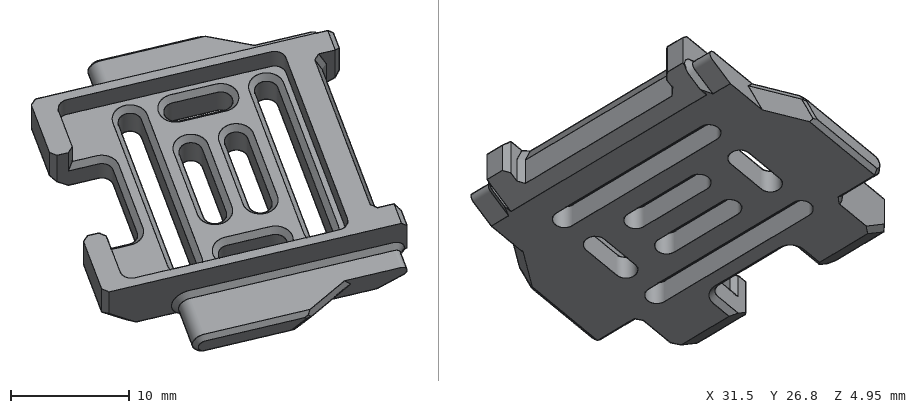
import cadquery as cq
import math

body_half_width = 10.85
body_length = 26.75
body_height = 4.95
bevel = 0.5
bevel_angle = 45
front_slope_height = 1.8
front_slope_length = 2.1
rear_slope_height = 1.45
rear_slope_angle = math.radians(25)
rear_slope_length = rear_slope_height / math.tan(rear_slope_angle)

pocket_side = 20.0
pocket_front = 2.02
pocket_floor = 2.95
pocket_corner_radius = 1.0

slot_width = 2.02
slot_pitch = 4.0
first_slot_y = 8.0
long_slot_length = 18.02
short_slot_length = 9.0
side_slot_length = 6.0
side_slot_x = 8.0
notch_width = short_slot_length
notch_depth = 5.17
notch_corner_radius = slot_width / 2

recess_half_width = 8.63
recess_bottom_y = 24.95
recess_top_y = 24.3
recess_lean_height = 1.58

wing_tip_x = 15.75
wing_shoulder_x = 13.23
wing_height = 2.1
wing_tip_bevel = 0.4
wing_slant_bevel = 0.2
wing_root_flare = 0.47
wing_front_radius = wing_height / 2
wing_front_centre_y = 7.53
wing_rear_radius = 0.55
wing_rear_centre_y = 25.48
nose_height = 1.48
nose_top_setback = 0.268
nose_bottom_setback = 0.9
nose_start_y = 21.05
nose_angle = math.radians(60)

overshoot = 1.58


def make_body():
    """Plate with sloped ends; the front corners are bevelled down to the underside."""
    body = (
        cq.Workplane("YZ")
        .moveTo(0, body_height)
        .lineTo(0, front_slope_height)
        .lineTo(front_slope_length, 0)
        .lineTo(body_length - rear_slope_length, 0)
        .lineTo(body_length, rear_slope_height)
        .lineTo(body_length, body_height - bevel)
        .lineTo(body_length - bevel, body_height)
        .close()
        .extrude(body_half_width, both=True)
    )
    for side in (-1, 1):
        front_vertical = (side * body_half_width, 0, (body_height + front_slope_height) / 2)
        front_slant = (side * body_half_width, front_slope_length / 2, front_slope_height / 2)
        body = body.edges(
            cq.selectors.NearestToPointSelector(front_vertical)
            + cq.selectors.NearestToPointSelector(front_slant)
        ).chamfer(bevel)
    return body


def pocket_column(bottom, top):
    """Pocket outline with its bevelled throat into the notch, between two heights."""
    height = top - bottom
    square = (
        cq.Workplane("XY", origin=(0, pocket_front + pocket_side / 2, bottom))
        .rect(pocket_side, pocket_side)
        .extrude(height)
        .edges("|Z")
        .fillet(pocket_corner_radius)
    )
    throat_inner = notch_width / 2 + bevel
    throat_outer = notch_width / 2
    throat_front = pocket_front - bevel
    throat = (
        cq.Workplane("XY", origin=(0, 0, bottom))
        .polyline([
            (-throat_outer, throat_front),
            (throat_outer, throat_front),
            (throat_inner, pocket_front),
            (throat_inner, pocket_front + bevel),
            (-throat_inner, pocket_front + bevel),
            (-throat_inner, pocket_front),
        ])
        .close()
        .extrude(height)
    )
    return square.union(throat)


def slot_cutter(x, y, length, angle=0):
    """Through slot with a bevelled rim at the pocket floor."""
    hole = (
        cq.Workplane("XY", origin=(x, y, 0))
        .slot2D(length, slot_width, angle)
        .extrude(pocket_floor)
    )
    rim = (
        cq.Workplane("XY", origin=(x, y, pocket_floor))
        .slot2D(length + 2 * bevel, slot_width + 2 * bevel, angle)
        .extrude(-bevel, taper=bevel_angle)
    )
    return hole.union(rim)


def notch_outline(z, grow):
    """Notch outline at height z, open past the front face and enlarged by grow."""
    half_width = notch_width / 2 + grow
    depth = notch_depth + grow
    radius = notch_corner_radius + grow
    return (
        cq.Workplane("XY", origin=(0, 0, z))
        .moveTo(-half_width, -overshoot)
        .lineTo(half_width, -overshoot)
        .lineTo(half_width, depth - radius)
        .radiusArc((half_width - radius, depth), -radius)
        .lineTo(radius - half_width, depth)
        .radiusArc((-half_width, depth - radius), -radius)
        .close()
    )


def notch_rim(narrow_z, wide_z):
    """Bevelled rim of the notch, flaring from one height to the other."""
    narrow = notch_outline(narrow_z, 0).wires().val()
    wide = notch_outline(wide_z, bevel).wires().val()
    return cq.Workplane(cq.Solid.makeLoft([narrow, wide], True))


def cut_notch(body):
    """Front notch, bevelled at the underside, the pocket floor and the front corners."""
    floor_rim = notch_rim(pocket_floor - bevel, pocket_floor)
    floor_rim = floor_rim.intersect(pocket_column(pocket_floor - bevel, pocket_floor))
    body = body.cut(notch_outline(0, 0).extrude(body_height))
    body = body.cut(notch_rim(bevel, 0)).cut(floor_rim)
    mouth = notch_width / 2
    flare = (
        cq.Workplane("XY")
        .polyline([(-mouth - bevel, 0), (mouth + bevel, 0), (mouth, bevel), (-mouth, bevel)])
        .close()
        .extrude(body_height)
    )
    return body.cut(flare)


def recess_outline(z, wall_y):
    """Rear recess outline at height z, with bevelled inner and outer corners."""
    inner = recess_half_width - bevel
    outer = recess_half_width + bevel
    half = [
        (inner, wall_y),
        (recess_half_width, wall_y + bevel),
        (recess_half_width, body_length - bevel),
        (outer, body_length),
    ]
    other_half = [(-x, y) for x, y in reversed(half)]
    return cq.Workplane("XY", origin=(0, 0, z)).polyline(half + other_half).close()


def make_recess():
    """Rear recess: upright wall below, leaning wall above."""
    lean_start = body_height - recess_lean_height
    foot = recess_outline(0, recess_bottom_y).extrude(lean_start)
    lower = recess_outline(lean_start, recess_bottom_y).wires().val()
    upper = recess_outline(body_height, recess_top_y).wires().val()
    return foot.union(cq.Workplane(cq.Solid.makeLoft([lower, upper], True)))


def wing_outline(x, grow):
    """Wing cross-section at x: round front on a 45 degree foot, small round rear, sloped rear underside."""
    front_radius = wing_front_radius + grow
    rear_radius = wing_rear_radius + grow
    front_centre_z = wing_front_radius
    rear_centre_z = wing_height - wing_rear_radius
    tangent_y = wing_rear_centre_y + rear_radius * math.sin(rear_slope_angle)
    tangent_z = rear_centre_z - rear_radius * math.cos(rear_slope_angle)
    slope_end_y = tangent_y - (tangent_z + grow) / math.tan(rear_slope_angle)
    front_tangent = front_radius * math.cos(math.radians(bevel_angle))
    foot_y = wing_front_centre_y - front_tangent
    foot_z = front_centre_z - front_tangent
    return (
        cq.Workplane("YZ", origin=(x, 0, 0))
        .moveTo(foot_y + foot_z + grow, -grow)
        .lineTo(foot_y, foot_z)
        .threePointArc(
            (wing_front_centre_y - front_radius, front_centre_z),
            (wing_front_centre_y, wing_height + grow),
        )
        .lineTo(wing_rear_centre_y, wing_height + grow)
        .threePointArc(
            (
                wing_rear_centre_y + rear_radius * math.cos(rear_slope_angle / 2),
                rear_centre_z + rear_radius * math.sin(rear_slope_angle / 2),
            ),
            (tangent_y, tangent_z),
        )
        .lineTo(slope_end_y, -grow)
        .close()
    )


def make_wing():
    """Right wing: narrow rear part, wider front part and a bevelled root."""
    inner_x = body_half_width - bevel
    narrow = wing_outline(inner_x, 0).extrude(wing_shoulder_x - inner_x)

    slant_plane = cq.Plane(
        origin=(wing_shoulder_x, nose_start_y, 0),
        xDir=(-math.sin(nose_angle), -math.cos(nose_angle), 0),
        normal=(-math.cos(nose_angle), math.sin(nose_angle), 0),
    )
    slanted_block = (
        cq.Workplane(slant_plane)
        .moveTo(nose_bottom_setback, 0)
        .lineTo(0, nose_height)
        .lineTo(nose_top_setback, wing_height)
        .lineTo(body_length, wing_height)
        .lineTo(body_length, 0)
        .close()
        .extrude(body_length, both=True)
    )
    wide = (
        wing_outline(inner_x, 0)
        .extrude(wing_tip_x - inner_x)
        .faces(">X")
        .edges()
        .chamfer(wing_tip_bevel)
        .intersect(slanted_block)
        .faces(">X")
        .edges("not(|Y)")
        .filter(lambda edge: edge.Center().y > wing_front_centre_y)
        .chamfer(wing_slant_bevel)
    )

    root_wide = wing_outline(body_half_width, wing_root_flare).wires().val()
    root_narrow = wing_outline(body_half_width + wing_root_flare, 0).wires().val()
    root = cq.Workplane(cq.Solid.makeLoft([root_wide, root_narrow], True))
    below = (
        cq.Workplane("XY")
        .rect(2 * wing_tip_x, 2 * body_length)
        .extrude(-overshoot)
    )
    return narrow.union(wide).union(root.cut(below))


result = make_body()
result = result.cut(pocket_column(pocket_floor, body_height))

cross_slot_lengths = [long_slot_length, short_slot_length, short_slot_length, long_slot_length]
for row, length in enumerate(cross_slot_lengths):
    result = result.cut(slot_cutter(0, first_slot_y + row * slot_pitch, length))

side_slot_y = first_slot_y + (len(cross_slot_lengths) - 1) * slot_pitch / 2
for side in (-1, 1):
    result = result.cut(slot_cutter(side * side_slot_x, side_slot_y, side_slot_length, 90))

result = cut_notch(result)
result = result.cut(make_recess())

wing = make_wing()
result = result.union(wing).union(wing.mirror("YZ"))